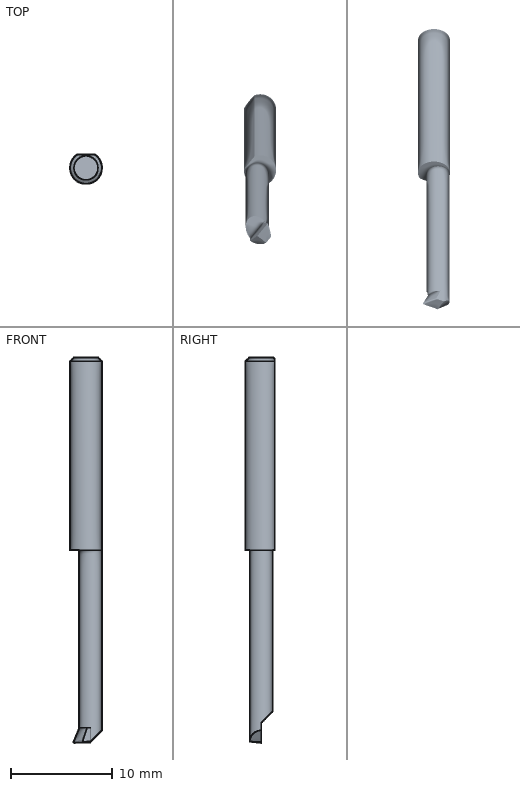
import cadquery as cq
import math

SHANK_DIAMETER = 3.175
SHANK_LENGTH = 19.05
SHANK_FLAT_Y = 1.3325
END_CHAMFER = 0.4

NECK_DIAMETER = 2.286
TOTAL_LENGTH = 38.09

RAMP_START_Z = 2.0
RAMP_ANGLE = 45.0
NOSE_CHAMFER = 1.25

HOOK_HEIGHT = 1.5
HOOK_TOP_X = -0.66
HOOK_LEAN_ANGLE = 22.5
TIP_RADIUS = 0.1
TIP_DROP = 0.0055
END_EDGE_Z = 0.05

END_RELIEF_ANGLE = 6.0
SIDE_RELIEF_TOP = 0.77
SIDE_RELIEF_BOTTOM = 0.92
SIDE_RELIEF_BULGE = 0.06

SHANK_RADIUS = SHANK_DIAMETER / 2
NECK_RADIUS = NECK_DIAMETER / 2
NECK_X = SHANK_RADIUS - NECK_RADIUS
NECK_LENGTH = TOTAL_LENGTH - SHANK_LENGTH
END_RELIEF_RISE = NECK_RADIUS * math.tan(math.radians(END_RELIEF_ANGLE))


def make_shank():
    """Chamfered round bar with the clamping flat along its whole length."""
    bar = (
        cq.Workplane("XY", origin=(0, 0, NECK_LENGTH))
        .circle(SHANK_RADIUS)
        .extrude(SHANK_LENGTH)
        .faces(">Z")
        .chamfer(END_CHAMFER)
    )
    flat_cutter = cq.Workplane("XY", origin=(0, SHANK_FLAT_Y, NECK_LENGTH)).box(
        SHANK_DIAMETER, SHANK_RADIUS, SHANK_LENGTH, centered=(True, False, False)
    )
    return bar.cut(flat_cutter)


def make_neck():
    """Neck bar with the rake flat and its ramp, the nose chamfer and room for the hook."""
    neck = cq.Workplane("XY").center(NECK_X, 0).circle(NECK_RADIUS).extrude(NECK_LENGTH)

    ramp_rise = NECK_DIAMETER * math.tan(math.radians(RAMP_ANGLE))
    rake_cutter = (
        cq.Workplane("YZ", origin=(NECK_X, 0, 0))
        .polyline(
            [
                (0, 0),
                (0, RAMP_START_Z),
                (NECK_DIAMETER, RAMP_START_Z + ramp_rise),
                (NECK_DIAMETER, 0),
            ]
        )
        .close()
        .extrude(NECK_RADIUS, both=True)
    )
    nose_cutter = (
        cq.Workplane("XZ")
        .polyline([(SHANK_RADIUS - NOSE_CHAMFER, 0), (SHANK_RADIUS, 0), (SHANK_RADIUS, NOSE_CHAMFER)])
        .close()
        .extrude(NECK_RADIUS, both=True)
    )
    end_relief_cutter = (
        cq.Workplane("YZ", origin=(NECK_X, 0, 0))
        .polyline(
            [
                (0, 0),
                (0, END_EDGE_Z),
                (-NECK_RADIUS, END_EDGE_Z + END_RELIEF_RISE),
                (-NECK_RADIUS, 0),
            ]
        )
        .close()
        .extrude(NECK_RADIUS)
    )
    hook_space = cq.Workplane("XY", origin=(NECK_X - NECK_RADIUS, 0, 0)).box(
        NECK_RADIUS, NECK_DIAMETER, HOOK_HEIGHT, centered=(False, True, False)
    )
    return neck.cut(rake_cutter).cut(nose_cutter).cut(end_relief_cutter).cut(hook_space)


def make_hook():
    """Cutting hook: sharp outline on the rake face, drawn in by a convex relief towards -Y."""
    tip_x = HOOK_TOP_X - (HOOK_HEIGHT + TIP_DROP) * math.tan(math.radians(HOOK_LEAN_ANGLE))

    def section(workplane, depth_ratio):
        """Outline at a share of the hook's depth; the bulge is a parabola peaking halfway."""
        bulge = 4 * SIDE_RELIEF_BULGE * depth_ratio * (1 - depth_ratio)
        top_shift = SIDE_RELIEF_TOP * depth_ratio - bulge
        tip_shift = SIDE_RELIEF_BOTTOM * depth_ratio - bulge
        lift = END_RELIEF_RISE * depth_ratio
        corners = [
            (NECK_X, HOOK_HEIGHT),
            (HOOK_TOP_X + top_shift, HOOK_HEIGHT),
            (tip_x + tip_shift, lift - TIP_DROP),
            (NECK_X, END_EDGE_Z + lift),
        ]
        return workplane.polyline(corners).close()

    half_depth = NECK_RADIUS / 2
    rake_section = section(cq.Workplane("XZ"), depth_ratio=0)
    middle_section = section(rake_section.workplane(offset=half_depth), depth_ratio=1 / 2)
    back_section = section(middle_section.workplane(offset=half_depth), depth_ratio=1)
    hook = back_section.loft()
    tip_edge_point = (tip_x + SIDE_RELIEF_BOTTOM / 2, -half_depth, END_RELIEF_RISE / 2)
    tip_edge = hook.edges(cq.selectors.NearestToPointSelector(tip_edge_point))
    return tip_edge.fillet(TIP_RADIUS)


result = make_shank().union(make_neck()).union(make_hook())